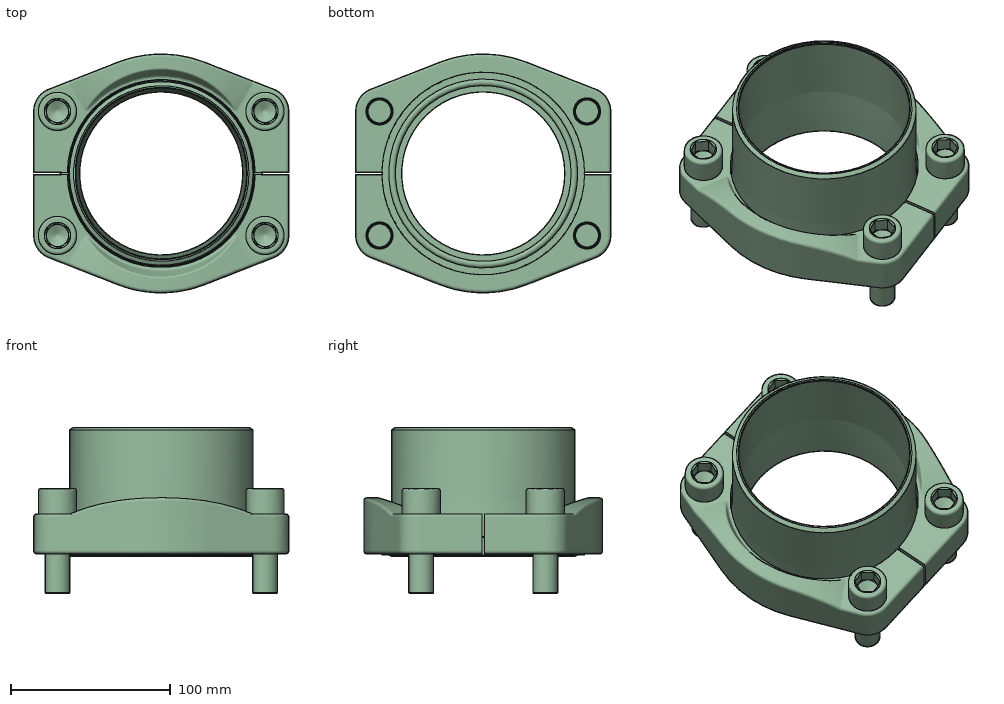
import cadquery as cq
import math


bolt_x = 65.04
bolt_y = 38.9
bolt_hole_dia = 17.0

shank_dia = 15.7
shank_length = 50.0
shank_chamfer = 0.6
head_dia = 24
head_height = 16
head_fillet = 1.6
socket_across_flats = 14.0
socket_across_corners = socket_across_flats / math.cos(math.pi / 6)
socket_depth = 9.5
socket_mouth_dia = 16.5
socket_turn = 37
socket_tip_angle = math.radians(30)
socket_mouth_angle = math.radians(30)

clamp_length = 160
clamp_width = 149.8
plate_height = 25.0
ridge_height = 35.2
split_gap = 1.5
clamp_bore_dia = 117.8
ridge_bore_base_dia = 121.6
ridge_bore_top_dia = 130.2
corner_radius = clamp_length / 2 - bolt_x
middle_radius = clamp_width / 2
edge_fillet = 2.0
ridge_rim_fillet = 1.3
ridge_curvature = 2.95
crest_start_y = 8
crest_end_y = 96

pipe_top = 79.4
pipe_dia = 115.0
pipe_bevel_dia = 114.2
pipe_end_dia = 110.0
pipe_bevel_height = 1.3
pipe_shoulder_height = 0.4
pipe_bore_dia = 107.0
pipe_mouth_chamfer = 0.5
neck_top = 33.5
neck_base_dia = 116.5
throat_dia = 102.0
flange_dia = 127.0
flange_top = 10.9
flange_bottom = -0.8
flange_chamfer = 0.5

seal_mean_dia = 114.2
seal_section_dia = 4.2
seal_bottom = -1.6
seal_top = seal_bottom + seal_section_dia


def clamp_blank(height):
    """Solid with the plan outline of the half on the +Y side."""
    split_y = split_gap / 2
    tangent_angle = math.atan2(bolt_y, bolt_x) + math.acos(
        (middle_radius - corner_radius) / math.hypot(bolt_x, bolt_y)
    )
    middle_x = middle_radius * math.cos(tangent_angle)
    middle_y = middle_radius * math.sin(tangent_angle)

    def corner_point(angle):
        return (
            bolt_x + corner_radius * math.cos(angle),
            bolt_y + corner_radius * math.sin(angle),
        )

    def mirrored(point):
        return -point[0], point[1]

    corner_start = corner_point(0)
    corner_middle = corner_point(tangent_angle / 2)
    corner_end = corner_point(tangent_angle)
    return (
        cq.Workplane("XY")
        .moveTo(clamp_length / 2, split_y)
        .lineTo(*corner_start)
        .threePointArc(corner_middle, corner_end)
        .lineTo(middle_x, middle_y)
        .threePointArc((0, middle_radius), (-middle_x, middle_y))
        .lineTo(*mirrored(corner_end))
        .threePointArc(mirrored(corner_middle), mirrored(corner_start))
        .lineTo(-clamp_length / 2, split_y)
        .close()
        .extrude(height)
    )


def crest_cone():
    """Slanted cone about a Y axis; its highest line is level, at the height of the ridge."""
    def section(y):
        radius = ridge_curvature * y
        center = cq.Vector(0, y, ridge_height - radius)
        return cq.Wire.makeCircle(radius, center, cq.Vector(0, 1, 0))

    return cq.Workplane(cq.Solid.makeLoft([section(crest_start_y), section(crest_end_y)], True))


def clamp_ridge():
    """Arched ridge, which rises out of the plate and leans away from the pipe."""
    ridge_bore = cq.Solid.makeCone(
        ridge_bore_base_dia / 2,
        ridge_bore_top_dia / 2,
        ridge_height - plate_height,
        pnt=cq.Vector(0, 0, plate_height),
    )
    ridge = clamp_blank(ridge_height).intersect(crest_cone())
    plate_space = cq.Workplane("XY").box(
        clamp_length, clamp_width, plate_height, centered=(True, True, False)
    )
    return ridge.cut(plate_space).cut(cq.Workplane(ridge_bore))


def is_ridge_rim(edge):
    """True for the curved inner rim of the ridge, which spans from one side of the clamp to the other."""
    box = edge.BoundingBox()
    return edge.geomType() == "BSPLINE" and box.xmin < 0 < box.xmax and box.ymin < bolt_x


def is_rounded(edge):
    """True for the rims of the outer wall and the valleys between ridge and plate."""
    middle = edge.positionAt(0.5)
    on_outer_wall = math.hypot(middle.x, middle.y) > middle_radius - edge_fillet
    is_valley = edge.geomType() == "BSPLINE" and edge.BoundingBox().zlen < edge_fillet
    return on_outer_wall or is_valley


def back_clamp_half():
    """Clamp half on the +Y side, with its share of the bore, the flange recess and two bolt holes."""
    half = clamp_blank(plate_height).union(clamp_ridge())
    half = half.edges().filter(is_ridge_rim).fillet(ridge_rim_fillet)
    half = half.edges("not |Z").filter(is_rounded).fillet(edge_fillet)
    bore = cq.Workplane("XY").circle(clamp_bore_dia / 2).extrude(ridge_height)
    flange_recess = cq.Workplane("XY").circle(flange_dia / 2).extrude(flange_top)
    bolt_holes = (
        cq.Workplane("XY")
        .pushPoints([(-bolt_x, bolt_y), (bolt_x, bolt_y)])
        .circle(bolt_hole_dia / 2)
        .extrude(plate_height)
    )
    return half.cut(bore).cut(flange_recess).cut(bolt_holes)


def flanged_pipe():
    """Pipe with a tapered neck, a flange at its foot and a groove for the seal ring under the flange."""
    bevel_bottom = pipe_top - pipe_bevel_height
    pipe = (
        cq.Workplane("XZ")
        .moveTo(throat_dia / 2, flange_bottom)
        .lineTo(flange_dia / 2, flange_bottom)
        .lineTo(flange_dia / 2, flange_top - flange_chamfer)
        .lineTo(flange_dia / 2 - flange_chamfer, flange_top)
        .lineTo(neck_base_dia / 2, flange_top)
        .lineTo(pipe_dia / 2, neck_top)
        .lineTo(pipe_dia / 2, bevel_bottom - pipe_shoulder_height)
        .lineTo(pipe_bevel_dia / 2, bevel_bottom)
        .lineTo(pipe_end_dia / 2, pipe_top)
        .lineTo(pipe_bore_dia / 2 + pipe_mouth_chamfer, pipe_top)
        .lineTo(pipe_bore_dia / 2, pipe_top - pipe_mouth_chamfer)
        .lineTo(pipe_bore_dia / 2, neck_top)
        .close()
        .revolve(360, (0, 0, 0), (0, 1, 0))
    )
    groove = (
        cq.Workplane("XY", origin=(0, 0, flange_bottom))
        .circle((seal_mean_dia + seal_section_dia) / 2)
        .circle((seal_mean_dia - seal_section_dia) / 2)
        .extrude(seal_top - flange_bottom)
    )
    return pipe.cut(groove)


def seal_ring():
    """Ring of round section that stands out below the flange."""
    return cq.Workplane(
        cq.Solid.makeTorus(
            seal_mean_dia / 2, seal_section_dia / 2, cq.Vector(0, 0, (seal_bottom + seal_top) / 2)
        )
    )


def bolt(x, y):
    """Socket-head bolt whose head rests on the clamp plate."""
    seat = cq.Workplane("XY", origin=(x, y, plate_height))
    shank = seat.circle(shank_dia / 2).extrude(-shank_length).faces("<Z").chamfer(shank_chamfer)
    head = seat.circle(head_dia / 2).extrude(head_height).faces(">Z").edges().fillet(head_fillet)
    return head.union(shank).cut(hex_socket(x, y))


def hex_socket(x, y):
    """Hexagonal hole with a conical bottom and a conical mouth."""
    head_top = plate_height + head_height
    floor = head_top - socket_depth
    flat_radius = socket_across_flats / 2
    hexagon = (
        cq.Workplane("XY", origin=(x, y, floor))
        .transformed(rotate=(0, 0, socket_turn))
        .polygon(6, socket_across_corners)
        .extrude(socket_depth)
    )
    tip = cq.Solid.makeCone(
        flat_radius, 0, flat_radius * math.tan(socket_tip_angle),
        pnt=cq.Vector(x, y, floor), dir=cq.Vector(0, 0, -1),
    )
    mouth_depth = (socket_mouth_dia / 2 - flat_radius) * math.tan(socket_mouth_angle)
    mouth = cq.Solid.makeCone(
        socket_mouth_dia / 2, flat_radius, mouth_depth,
        pnt=cq.Vector(x, y, head_top), dir=cq.Vector(0, 0, -1),
    )
    return hexagon.union(cq.Workplane(tip)).union(cq.Workplane(mouth))


back_half = back_clamp_half()
front_half = back_half.mirror("XZ")
pipe = flanged_pipe()
seal = seal_ring()
bolts = [bolt(side_x * bolt_x, side_y * bolt_y) for side_x in (-1, 1) for side_y in (-1, 1)]

result = cq.Compound.makeCompound(
    [solid for body in [back_half, front_half, pipe, seal, *bolts] for solid in body.solids().vals()]
)